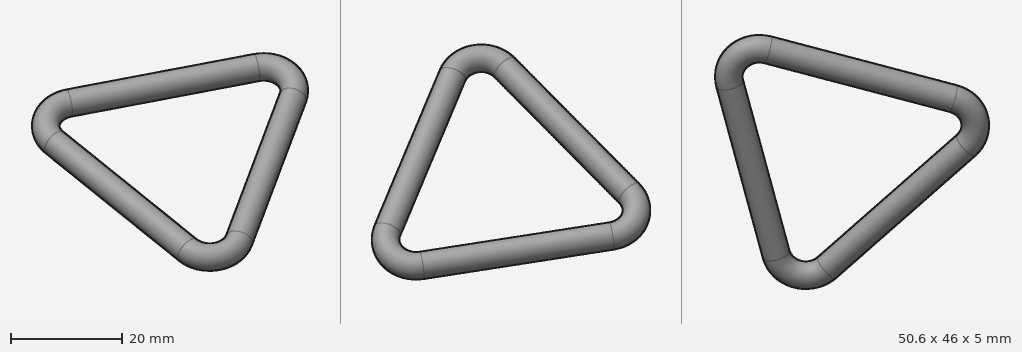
import cadquery as cq
import math

outer_width = 50.6
wire_diameter = 5.0
inner_bend_radius = 3.0

bend_radius = inner_bend_radius + wire_diameter / 2
outer_bend_radius = inner_bend_radius + wire_diameter
straight_length = outer_width - 2 * outer_bend_radius
center_to_bend = straight_length / math.sqrt(3)
center_to_side = center_to_bend / 2 + bend_radius
corner_angles = (-30, 90, 210)
half_bend_angle = 60


def point_on_bend(corner_angle, offset_angle):
    """Point on a bend's centreline, offset in angle from the corner direction."""
    corner = math.radians(corner_angle)
    direction = math.radians(corner_angle + offset_angle)
    return (
        center_to_bend * math.cos(corner) + bend_radius * math.cos(direction),
        center_to_bend * math.sin(corner) + bend_radius * math.sin(direction),
    )


def wire_centerline():
    """Counter-clockwise loop that starts at the middle of the side facing -Y."""
    path = cq.Workplane("XY").moveTo(0, -center_to_side)
    for angle in corner_angles:
        path = path.lineTo(*point_on_bend(angle, -half_bend_angle))
        path = path.threePointArc(
            point_on_bend(angle, 0),
            point_on_bend(angle, half_bend_angle),
        )
    return path.close()


wire_section = cq.Workplane("YZ", origin=(0, -center_to_side, 0)).circle(wire_diameter / 2)
result = wire_section.sweep(wire_centerline())